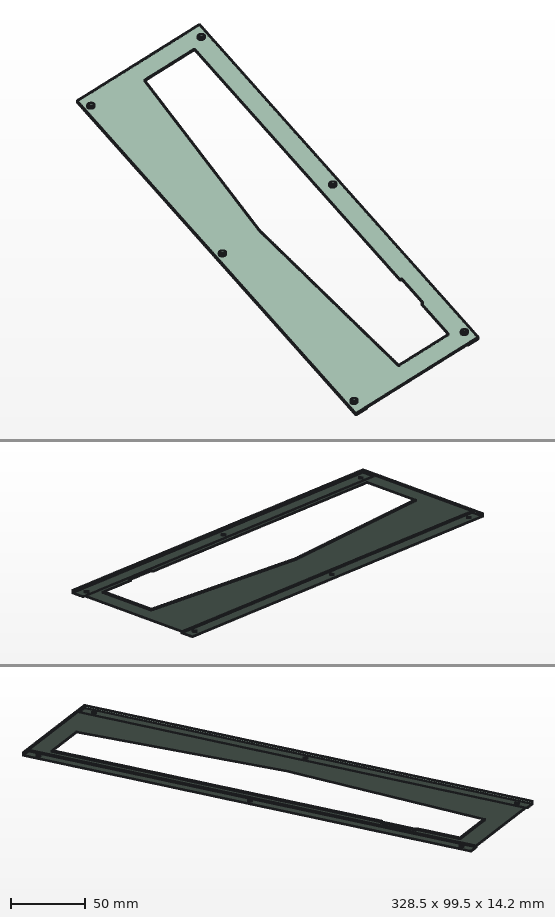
import cadquery as cq

length = 328.5
width = 100.0
thickness = 2.0
tilt = 7.0

recess_depth = 1.0
rim_width = 9.0

window_half_length = 150.0
window_back = 35.8
window_front_side = -5.0
window_front_middle = -14.8

notch_left = 92.7
notch_right = 117.5
notch_depth = 1.3

hole_diameter = 2.5
countersink_diameter = 5.0
countersink_angle = 90.0
hole_spacing_x = 155.0
hole_offset_y = 45.0


def make_plate():
    plate = cq.Workplane("XY").box(length, width, thickness)
    recess = (
        cq.Workplane("XY")
        .box(length, width - 2 * rim_width, recess_depth)
        .translate((0, 0, (recess_depth - thickness) / 2))
    )
    return plate.cut(recess)


def make_window():
    outline = [
        (-window_half_length, window_back),
        (-window_half_length, window_front_side),
        (0, window_front_middle),
        (window_half_length, window_front_side),
        (window_half_length, window_back),
        (notch_right, window_back),
        (notch_right, window_back + notch_depth),
        (notch_left, window_back + notch_depth),
        (notch_left, window_back),
    ]
    return (
        cq.Workplane("XY")
        .polyline(outline)
        .close()
        .extrude(thickness, both=True)
    )


def drill_screw_holes(plate):
    return (
        plate.faces(">Z")
        .workplane(origin=(0, 0, 0))
        .rarray(hole_spacing_x, 2 * hole_offset_y, 3, 2)
        .cskHole(hole_diameter, countersink_diameter, countersink_angle)
    )


plate = drill_screw_holes(make_plate()).cut(make_window())
result = plate.rotate((0, 0, 0), (1, 0, 0), tilt)